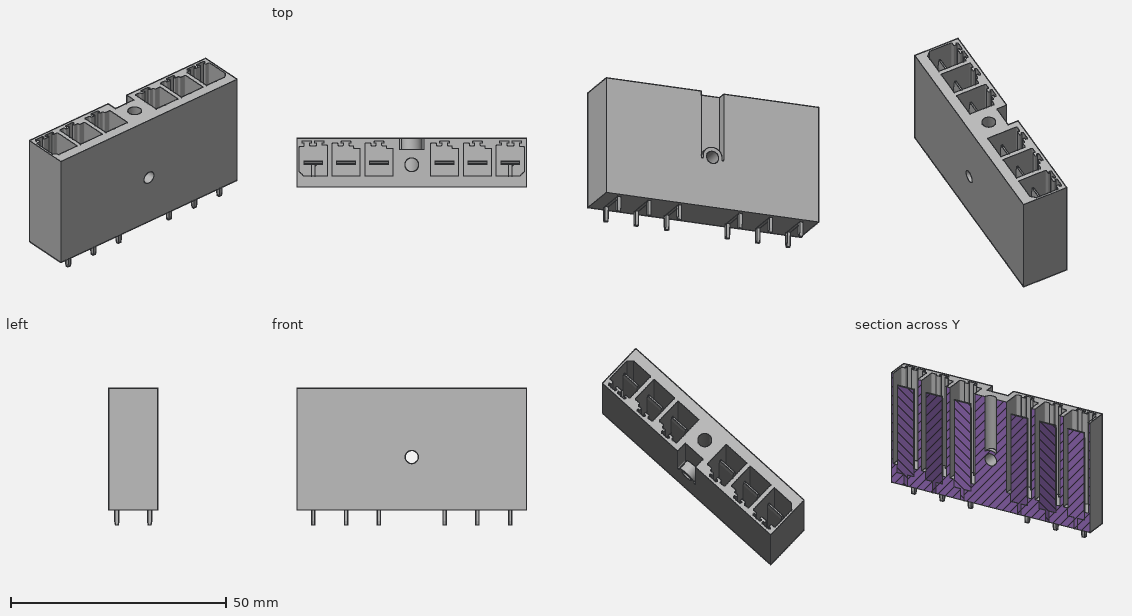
import cadquery as cq

HOUSING_LENGTH = 53.34
HOUSING_DEPTH = 11.4
HOUSING_HEIGHT = 28.3
REAR_FACE = HOUSING_DEPTH / 2

PITCH = 7.62
INNER_STATIONS = (-2, -1, 1, 2)
END_STATIONS = (-3, 3)

POCKET_FLOOR = 5.0
POCKET_HALF_WIDTH = 3.28
POCKET_FRONT = -3.15
POCKET_CORNER = 0.2
SHOULDER_MIDDLE = 3.9
SHOULDER_RIGHT = 3.3
SHOULDER_LEFT = 4.52
STEP_LEFT = -1.85
STEP_RIGHT = 1.75
END_SHOULDER_OUTER = 3.75
END_SHOULDER_INNER = 4.05
END_CHAMFER = 1.1

GUIDE_STEM_WIDTH = 1.3
GUIDE_HEAD_WIDTH = 2.3
GUIDE_HEAD_FRONT = 4.5
GUIDE_REAR = 5.0
END_GUIDE_OUTER = -1.5
END_GUIDE_INNER = 1.4

GROOVE_FLARE = 0.5

BORE_DIAMETER = 3.0
BORE_HEIGHT = 12.3
TUBE_DIAMETER = 4.9
NOTCH_WIDTH = 5.6
NOTCH_DEPTH = 2.6
GAP_WIDTH = 0.45
GAP_DEPTH = 0.5
ACCESS_DIAMETER = 3.2
ACCESS_Y = -0.5

BLADE_WIDTH = 4.4
BLADE_THICKNESS = 0.8
BLADE_TOP = 25.4
BLADE_TIP_THICKNESS = 0.4
BLADE_TIP_LENGTH = 2.0
FOOT_THICKNESS = 0.8
FOOT_HEIGHT = 3.0
TAIL_SPACING = PITCH
TAIL_WIDTH = 1.0
TAIL_LENGTH = 3.5
TAIL_TIP_WIDTH = 0.65
TAIL_TIP_LENGTH = 0.9


def pocket_prism(sketch):
    """Stand an outline on the pocket floor and run it out through the housing top."""
    return sketch.extrude(HOUSING_HEIGHT - POCKET_FLOOR)


def guide_stem(x):
    """Narrow part of a guide slot, running from the pocket into the rear wall."""
    return pocket_prism(
        cq.Workplane("XY", origin=(x, GUIDE_REAR / 2, POCKET_FLOOR)).rect(GUIDE_STEM_WIDTH, GUIDE_REAR)
    )


def guide_head(x):
    """Wider end of a guide slot, with rounded rear corners."""
    head_depth = GUIDE_REAR - GUIDE_HEAD_FRONT
    head_y = GUIDE_HEAD_FRONT + head_depth / 2
    head = pocket_prism(
        cq.Workplane("XY", origin=(x, head_y, POCKET_FLOOR)).rect(GUIDE_HEAD_WIDTH, head_depth)
    )
    return head.edges("|Z and >Y").fillet(POCKET_CORNER)


def add_guides(pocket, guide_positions):
    """Round the rear corners of a pocket with its guide stems, then open out the guide heads."""
    for x in guide_positions:
        pocket = pocket.union(guide_stem(x))
    pocket = round_rear_corners(pocket)
    for x in guide_positions:
        pocket = pocket.union(guide_head(x))
    return pocket


def round_rear_corners(pocket):
    """Round every upright corner in the rear half of a pocket."""
    rear_half = cq.selectors.BoxSelector(
        (-HOUSING_LENGTH, 0, 0),
        (HOUSING_LENGTH, REAR_FACE, HOUSING_HEIGHT),
    )
    return pocket.edges("|Z").edges(rear_half).fillet(POCKET_CORNER)


def inner_pocket():
    """Pocket with a stepped rear wall and one guide slot."""
    outline = cq.Workplane("XY", origin=(0, 0, POCKET_FLOOR)).polyline(
        [
            (-POCKET_HALF_WIDTH, POCKET_FRONT),
            (POCKET_HALF_WIDTH, POCKET_FRONT),
            (POCKET_HALF_WIDTH, SHOULDER_RIGHT),
            (STEP_RIGHT, SHOULDER_RIGHT),
            (STEP_RIGHT, SHOULDER_MIDDLE),
            (STEP_LEFT, SHOULDER_MIDDLE),
            (STEP_LEFT, SHOULDER_LEFT),
            (-POCKET_HALF_WIDTH, SHOULDER_LEFT),
        ]
    ).close()
    return add_guides(pocket_prism(outline), (0,))


def end_pocket():
    """Left end pocket: chamfered outer front corner and two guide slots."""
    outline = cq.Workplane("XY", origin=(0, 0, POCKET_FLOOR)).polyline(
        [
            (-POCKET_HALF_WIDTH + END_CHAMFER, POCKET_FRONT),
            (POCKET_HALF_WIDTH, POCKET_FRONT),
            (POCKET_HALF_WIDTH, END_SHOULDER_INNER),
            (END_GUIDE_INNER, END_SHOULDER_INNER),
            (END_GUIDE_INNER, SHOULDER_MIDDLE),
            (END_GUIDE_OUTER, SHOULDER_MIDDLE),
            (END_GUIDE_OUTER, END_SHOULDER_OUTER),
            (-POCKET_HALF_WIDTH, END_SHOULDER_OUTER),
            (-POCKET_HALF_WIDTH, POCKET_FRONT + END_CHAMFER),
        ]
    ).close()
    return add_guides(pocket_prism(outline), (END_GUIDE_OUTER, END_GUIDE_INNER))


def floor_groove():
    """Groove from the blade to the front wall of an end pocket, flared on its +X side at the blade."""
    half_width = FOOT_THICKNESS / 2
    blade_front = -BLADE_THICKNESS / 2
    return (
        cq.Workplane("XY", origin=(0, 0, FOOT_HEIGHT))
        .polyline(
            [
                (-half_width, POCKET_FRONT),
                (half_width, POCKET_FRONT),
                (half_width, blade_front - GROOVE_FLARE),
                (half_width + GROOVE_FLARE, blade_front),
                (-half_width, blade_front),
            ]
        )
        .close()
        .extrude(POCKET_FLOOR - FOOT_HEIGHT)
    )


def along_y(radius):
    """Cylinder through the housing in Y, centred on the screw bore."""
    axis_start = cq.Workplane("XZ", origin=(0, REAR_FACE, BORE_HEIGHT))
    return axis_start.circle(radius).extrude(HOUSING_DEPTH)


def boss_clearance():
    """Space above the screw tube: a notch in the rear face and a vertical access hole."""
    rise = HOUSING_HEIGHT - BORE_HEIGHT
    notch_y = REAR_FACE - NOTCH_DEPTH / 2
    notch = cq.Workplane("XY", origin=(0, notch_y, BORE_HEIGHT)).rect(NOTCH_WIDTH, NOTCH_DEPTH).extrude(rise)
    access = cq.Workplane("XY", origin=(0, ACCESS_Y, BORE_HEIGHT)).circle(ACCESS_DIAMETER / 2).extrude(rise)
    clearance = notch.union(access).cut(along_y(TUBE_DIAMETER / 2))

    half_gap = GAP_WIDTH / 2
    for side in (-1, 1):
        gap_x = side * (NOTCH_WIDTH / 2 - half_gap)
        gap = (
            cq.Workplane("XZ", origin=(gap_x, REAR_FACE, BORE_HEIGHT))
            .moveTo(-half_gap, rise)
            .lineTo(-half_gap, half_gap - GAP_DEPTH)
            .threePointArc((0, -GAP_DEPTH), (half_gap, half_gap - GAP_DEPTH))
            .lineTo(half_gap, rise)
            .close()
            .extrude(NOTCH_DEPTH)
        )
        clearance = clearance.union(gap)
    return clearance


def tapered_bar(x_width, thickness, tip_thickness, y, z_base, z_tip, tip_length):
    """Bar along Z, centred on X = 0, whose two Y faces draw in over the tip length."""
    half = thickness / 2
    half_tip = tip_thickness / 2
    direction = 1 if z_tip > z_base else -1
    z_taper = z_tip - direction * tip_length
    return (
        cq.Workplane("YZ", origin=(-x_width / 2, y, 0))
        .polyline(
            [
                (-half, z_base),
                (half, z_base),
                (half, z_taper),
                (half_tip, z_tip),
                (-half_tip, z_tip),
                (-half, z_taper),
            ]
        )
        .close()
        .extrude(x_width)
    )


def make_contact(x):
    """Flat blade standing on a foot bar, with two solder tails under the foot."""
    foot_length = TAIL_SPACING + TAIL_WIDTH
    foot = cq.Workplane("XY").box(FOOT_THICKNESS, foot_length, FOOT_HEIGHT, centered=(True, True, False))
    blade = tapered_bar(
        BLADE_WIDTH, BLADE_THICKNESS, BLADE_TIP_THICKNESS, 0, FOOT_HEIGHT, BLADE_TOP, BLADE_TIP_LENGTH
    )
    contact = foot.union(blade)
    for tail_y in (-TAIL_SPACING / 2, TAIL_SPACING / 2):
        tail = tapered_bar(
            FOOT_THICKNESS, TAIL_WIDTH, TAIL_TIP_WIDTH, tail_y, 0, -TAIL_LENGTH, TAIL_TIP_LENGTH
        )
        contact = contact.union(tail)
    return contact.translate((x, 0, 0))


def make_housing(contacts):
    """Block with six plug pockets, the screw boss and a fitting recess for every contact."""
    housing = cq.Workplane("XY").box(
        HOUSING_LENGTH, HOUSING_DEPTH, HOUSING_HEIGHT, centered=(True, True, False)
    )
    for station in INNER_STATIONS:
        housing = housing.cut(inner_pocket().translate((station * PITCH, 0, 0)))
    for station in END_STATIONS:
        pocket = end_pocket() if station < 0 else end_pocket().mirror("YZ")
        housing = housing.cut(pocket.union(floor_groove()).translate((station * PITCH, 0, 0)))
    housing = housing.cut(boss_clearance())
    housing = housing.cut(along_y(BORE_DIAMETER / 2))
    for contact in contacts:
        housing = housing.cut(contact)
    return housing


contacts = [make_contact(station * PITCH) for station in sorted(INNER_STATIONS + END_STATIONS)]
housing = make_housing(contacts)

result = cq.Compound.makeCompound([housing.val(), *[contact.val() for contact in contacts]])